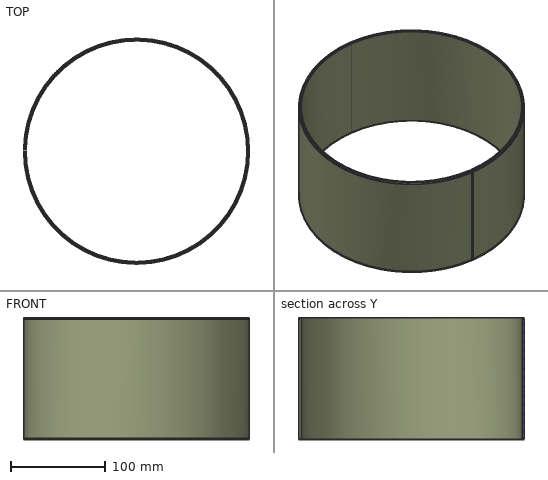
import cadquery as cq

outer_diameter = 240.0
height = 130.0
wall = 2.6
slit_width = 2.0
outer_bevel_height = 2.0
outer_bevel_depth = 0.7
inner_chamfer = 0.5

outer_radius = outer_diameter / 2
inner_radius = outer_radius - wall
half_height = height / 2

outer_rim_radius = outer_radius - outer_bevel_depth
inner_rim_radius = inner_radius + inner_chamfer
outer_bevel_start = half_height - outer_bevel_height
inner_chamfer_start = half_height - inner_chamfer

wall_section = [
    (inner_radius, -inner_chamfer_start),
    (inner_rim_radius, -half_height),
    (outer_rim_radius, -half_height),
    (outer_radius, -outer_bevel_start),
    (outer_radius, outer_bevel_start),
    (outer_rim_radius, half_height),
    (inner_rim_radius, half_height),
    (inner_radius, inner_chamfer_start),
]
ring = cq.Workplane("XZ").polyline(wall_section).close().revolve(360, (0, 0, 0), (0, 1, 0))

slit_depth = 2 * wall
slit = (
    cq.Workplane("XY")
    .box(slit_depth, slit_width, height, centered=(True, False, True))
    .translate((wall / 2 - outer_radius, 0, 0))
)

result = ring.cut(slit)